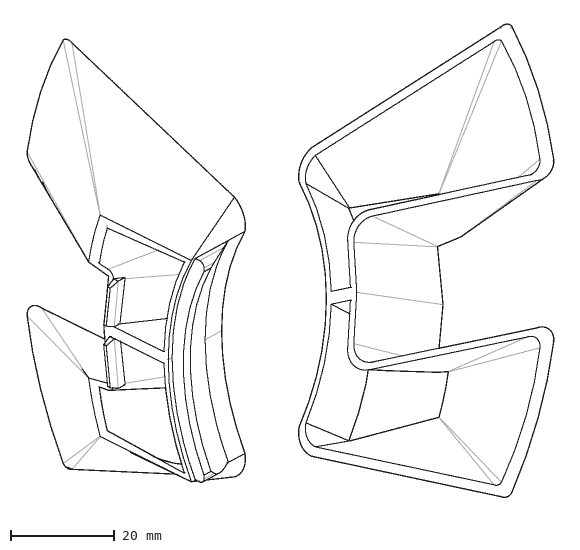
import cadquery as cq
import math

depth = 14.9
overall_length = 96.9
half_length = overall_length / 2
top_round_loss = 0.5
half_rib = 1.31
sharp_corner = (0.04, 0.04)

narrow_shell_bulge = 0.3
narrow_passage_bulge = 0.2
wide_bulge = 1.4

end_radius = 53.5
end_middle_x = 52.1
end_wall = 1.2
end_axis_x = end_middle_x + end_radius

lip_height = 3.0
lip_setback = 1.1
lip_flat = 1.9
lip_taper = 7.3
lip_half_length = 25.0
lip_max_x = 60.7
lip_corner = 1.2

tab_height = 1.9
tab_root = 1.9
tab_thickness = 1.3
tab_tip_thickness = 0.7
tab_low_z = 1.4
tab_high_z = 12.1
tab_low_x = 36.4
tab_high_x = 37.5
tab_end_taper = 0.9


def end_x(z, radius=end_radius):
    """X of the concave end arc at height z."""
    return end_axis_x - math.sqrt(radius**2 - z**2)


def corner(vertex, before, after, radius_in, radius_out):
    """Start, middle and end of a rounded corner reaching the given lengths along both sides."""
    v = cq.Vector(*vertex)
    start = v + (cq.Vector(*before) - v).normalized() * radius_in
    end = v + (cq.Vector(*after) - v).normalized() * radius_out
    chord_middle = (start + end) * 0.5
    opening = (start - v).getAngle(end - v)
    fraction = 1 / (1 + math.sin(opening / 2))
    middle = v + (chord_middle - v) * fraction
    return [(p.x, p.y) for p in (start, middle, end)]


def outline(y, base_z, notch, outer, top, end, reaches, side_bulge, arc_radius):
    """Closed upper-half outline at depth y.

    notch = (X at the base, inner corner); outer, top and end are the other corners.
    reaches gives the rounding (length before, length after) at the notch, outer, top and
    end corners.
    """
    base_x, inner = notch
    base = (base_x, base_z)
    end_base = (end_x(base_z, arc_radius), base_z)
    ring = [base, inner, outer, top, end, end_base]
    rounds = []
    for i, (reach_in, reach_out) in enumerate(reaches, start=1):
        following = ring[i + 1]
        if ring[i] == end:
            finish_z = end[1] - reach_out
            following = (end_x(finish_z, arc_radius), finish_z)
            reach_out = math.dist(end, following)
        rounds.append(corner(ring[i], ring[i - 1], following, reach_in, reach_out))
    inner_round, outer_round, top_round, end_round = rounds
    side_start = outer_round[2]
    side_end = top_round[0]
    side_middle = (
        (side_start[0] + side_end[0]) / 2 - side_bulge,
        (side_start[1] + side_end[1]) / 2,
    )
    middle_z = (end_round[2][1] + base_z) / 2
    end_middle = (end_x(middle_z, arc_radius), middle_z)

    plane = cq.Plane(origin=(0, y, 0), xDir=(1, 0, 0), normal=(0, -1, 0))
    path = (
        cq.Workplane(plane)
        .moveTo(*base)
        .lineTo(*inner_round[0])
        .threePointArc(*inner_round[1:])
        .lineTo(*outer_round[0])
        .threePointArc(*outer_round[1:])
        .threePointArc(side_middle, side_end)
        .threePointArc(*top_round[1:])
        .lineTo(*end_round[0])
        .threePointArc(*end_round[1:])
        .threePointArc(end_middle, end_base)
        .close()
    )
    return path.val()


def loft(wires):
    return cq.Workplane(obj=cq.Solid.makeLoft(wires, True))


def make_shell():
    """Upper half of the flared body, with its solid middle rib at Z = 0."""
    narrow = outline(
        y=0,
        base_z=0,
        notch=(34.9, (36.15, 12.1)),
        outer=(30.8, 13.1),
        top=(33.9, lip_half_length),
        end=(end_x(lip_half_length), lip_half_length),
        reaches=[sharp_corner] * 4,
        side_bulge=narrow_shell_bulge,
        arc_radius=end_radius,
    )
    wide = outline(
        y=depth,
        base_z=0,
        notch=(45.2, (46.1, 14.9)),
        outer=(-1.1, 15.1),
        top=(10.1, half_length + top_round_loss),
        end=(58.6, 30.4),
        reaches=[(4.6, 4.6), (5.0, 3.6), (1.2, 2.1), (3.3, 5.3)],
        side_bulge=wide_bulge,
        arc_radius=end_radius,
    )
    return loft([narrow, wide])


def make_passage():
    """Flared opening through the upper half."""
    arc_radius = end_radius + end_wall
    narrow = outline(
        y=0,
        base_z=half_rib,
        notch=(36.6, (37.6, 13.5)),
        outer=(33.7, 14.0),
        top=(35.9, 22.9),
        end=(56.3, 23.8),
        reaches=[(1.55, 1.55)] + [sharp_corner] * 3,
        side_bulge=narrow_passage_bulge,
        arc_radius=arc_radius,
    )
    wide = outline(
        y=depth,
        base_z=half_rib,
        notch=(46.6, (47.6, 16.4)),
        outer=(2.3, 16.6),
        top=(12.3, 45.9),
        end=(57.2, 28.9),
        reaches=[(5.3, 5.3), (3.9, 2.9), (0.8, 1.55), (2.7, 4.4)],
        side_bulge=wide_bulge,
        arc_radius=arc_radius,
    )
    return loft([narrow, wide])


def make_tab():
    """Slanted tapered tab rooted in the notch wall."""
    def section(y, x_shift, thickness, z_inset):
        low_z = tab_low_z + z_inset
        high_z = tab_high_z - z_inset
        low_x = tab_low_x + x_shift
        high_x = tab_high_x + x_shift
        points = [(low_x, low_z), (low_x + thickness, low_z),
                  (high_x + thickness, high_z), (high_x, high_z)]
        return cq.Wire.makePolygon([cq.Vector(x, y, z) for x, z in points], close=True)

    tip_shift = (tab_thickness - tab_tip_thickness) / 2
    base = section(0, 0, tab_thickness, 0)
    root = section(tab_root, 0, tab_thickness, 0)
    tip = section(-tab_height, tip_shift, tab_tip_thickness, tab_end_taper)
    return loft([root, base]).union(loft([base, tip]))


def make_lip():
    """Tapered lip swept along the whole end arc and trimmed flat at both ends."""
    overlap = 0.5
    outer = end_radius + overlap
    inner = end_radius - lip_height
    flat_end = lip_setback + lip_flat
    ring = (
        cq.Workplane("XY")
        .polyline([
            (end_axis_x - outer, lip_setback),
            (end_axis_x - inner, lip_setback),
            (end_axis_x - inner, flat_end),
            (end_axis_x - end_radius, flat_end + lip_taper),
            (end_axis_x - outer, flat_end + lip_taper),
        ])
        .close()
        .revolve(360, (end_axis_x, 0), (end_axis_x, 1))
    )
    trim_width = lip_max_x - end_middle_x + overlap
    trim = (
        cq.Workplane("XY")
        .box(trim_width, depth, 2 * lip_half_length)
        .edges("|Y and >X")
        .fillet(lip_corner)
        .translate((lip_max_x - trim_width / 2, depth / 2, 0))
    )
    return ring.intersect(trim)


upper_half = make_shell().cut(make_passage()).union(make_tab())
result = upper_half.union(upper_half.mirror("XY")).union(make_lip())